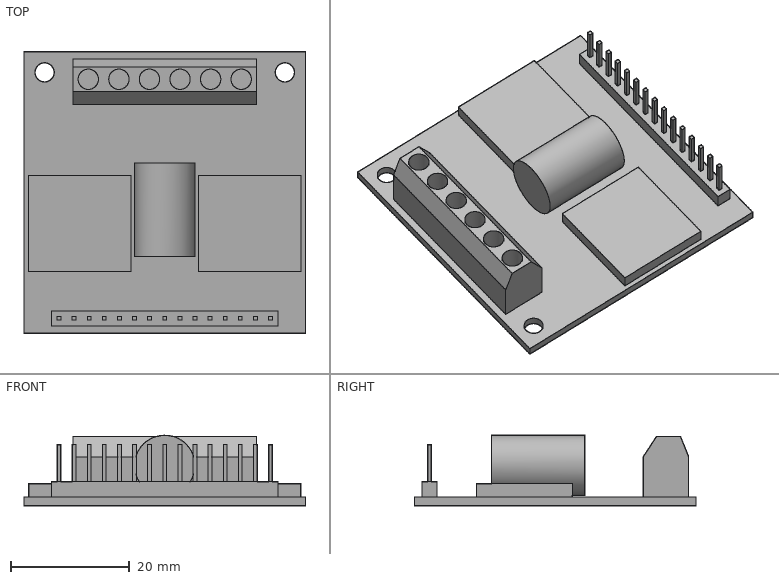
import cadquery as cq

board_side = 47.37
board_thickness = 1.524

mounting_hole_diameter = 3.18
mounting_hole_inset = 3.48

capacitor_diameter = 10.16
capacitor_length = 15.75
capacitor_front_y = -10.75
capacitor_top_z = 11.88

terminal_count = 6
terminal_width = 30.86
terminal_pitch = terminal_width / terminal_count
terminal_front_y = 14.78
terminal_back_y = 22.45
terminal_top_front_y = 17.03
terminal_top_back_y = 21.07
terminal_shoulder_z = 8.25
terminal_top_z = 11.7
screw_hole_diameter = 3.42
screw_hole_depth = 5.0
screw_hole_y = (terminal_top_front_y + terminal_top_back_y) / 2

module_width = 17.2
module_depth = 16.15
module_height = 2.2
module_center_x = 14.3
module_center_y = -5.18

pin_count = 15
pin_pitch = 2.54
pin_thickness = 0.64
pin_top_z = 10.3
header_length = pin_count * pin_pitch
header_depth = 2.54
header_height = 2.54
header_center_y = -21.15


def centered_positions(count, pitch):
    """Evenly spaced X positions, symmetric about X = 0."""
    return [(i - (count - 1) / 2) * pitch for i in range(count)]


def block(length, depth, bottom_z, top_z, center_x, center_y):
    """Upright rectangular block between two heights."""
    return (
        cq.Workplane("XY", origin=(center_x, center_y, bottom_z))
        .rect(length, depth)
        .extrude(top_z - bottom_z)
    )


def make_board():
    """Square board with two mounting holes along its back edge."""
    hole_offset = board_side / 2 - mounting_hole_inset
    return (
        block(board_side, board_side, 0, board_thickness, 0, 0)
        .faces(">Z")
        .workplane(origin=(0, 0, 0))
        .pushPoints([(-hole_offset, hole_offset), (hole_offset, hole_offset)])
        .hole(mounting_hole_diameter)
    )


def make_terminal_block():
    """Terminal block with sloped shoulders and a row of blind screw holes."""
    profile = [
        (terminal_front_y, board_thickness),
        (terminal_front_y, terminal_shoulder_z),
        (terminal_top_front_y, terminal_top_z),
        (terminal_top_back_y, terminal_top_z),
        (terminal_back_y, terminal_shoulder_z),
        (terminal_back_y, board_thickness),
    ]
    screw_points = [(x, screw_hole_y) for x in centered_positions(terminal_count, terminal_pitch)]
    return (
        cq.Workplane("YZ")
        .polyline(profile)
        .close()
        .extrude(terminal_width / 2, both=True)
        .faces(">Z")
        .workplane(origin=(0, 0, 0))
        .pushPoints(screw_points)
        .hole(screw_hole_diameter, screw_hole_depth)
    )


def make_module(center_x):
    """Flat module standing on the board."""
    return block(
        module_width,
        module_depth,
        board_thickness,
        board_thickness + module_height,
        center_x,
        module_center_y,
    )


def make_pin_header():
    """Header strip with one row of square pins."""
    strip_top_z = board_thickness + header_height
    header = block(header_length, header_depth, board_thickness, strip_top_z, 0, header_center_y)
    for x in centered_positions(pin_count, pin_pitch):
        header = header.union(
            block(pin_thickness, pin_thickness, strip_top_z, pin_top_z, x, header_center_y)
        )
    return header


def make_board_assembly():
    """Board fused with everything that stands flat on it."""
    assembly = make_board().union(make_terminal_block())
    for center_x in (-module_center_x, module_center_x):
        assembly = assembly.union(make_module(center_x))
    return assembly.union(make_pin_header())


def make_capacitor():
    """Cylinder lying along Y just above the board."""
    axis_z = capacitor_top_z - capacitor_diameter / 2
    return (
        cq.Workplane("XZ", origin=(0, capacitor_front_y, axis_z))
        .circle(capacitor_diameter / 2)
        .extrude(-capacitor_length)
    )


board_assembly = make_board_assembly()
capacitor = make_capacitor()

result = cq.Compound.makeCompound([board_assembly.val(), capacitor.val()])